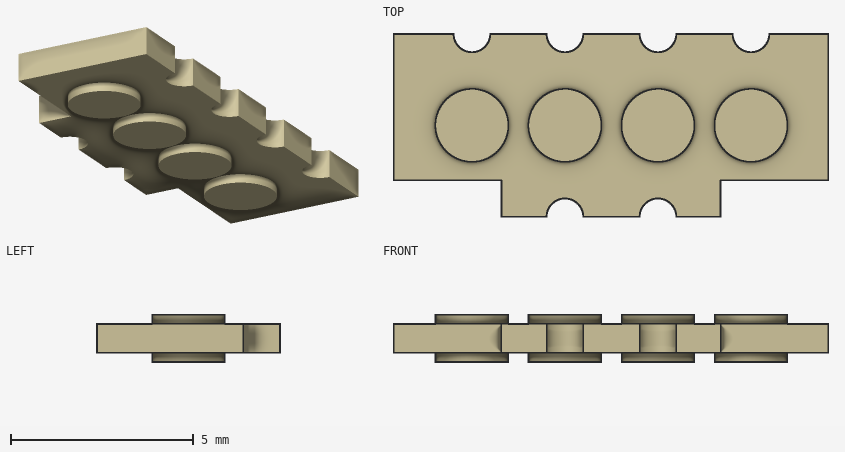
import cadquery as cq

board_length = 11.89
board_width = 5.0
board_thickness = 0.8
tongue_length = 5.99
tongue_depth = 1.0

pad_count = 4
pad_diameter = 2.0
pad_thickness = 0.25
pitch = 2.55
row_center_x = 0.01
pad_center_y = 0.0
notch_radius = 0.5

front_y = -board_width / 2
back_y = board_width / 2
shoulder_y = front_y + tongue_depth
row_x = [row_center_x + (i - (pad_count - 1) / 2) * pitch for i in range(pad_count)]


def box_between(length, y_min, y_max):
    """Block of board thickness, centred in Z, spanning a range in Y."""
    return cq.Workplane("XY").box(length, y_max - y_min, board_thickness).translate(
        (0, (y_min + y_max) / 2, 0)
    )


def make_board():
    """Board with a front tongue and half-round notches in both long edges."""
    main = box_between(board_length, shoulder_y, back_y)
    tongue = box_between(tongue_length, front_y, shoulder_y)
    back_notches = [(x, back_y) for x in row_x]
    front_notches = [(x, front_y) for x in row_x[1:-1]]
    cutters = (
        cq.Workplane("XY", origin=(0, 0, -board_thickness / 2))
        .pushPoints(back_notches + front_notches)
        .circle(notch_radius)
        .extrude(board_thickness)
    )
    return main.union(tongue).cut(cutters)


def make_pad(x, z_bottom):
    """Flat round pad standing on one face of the board."""
    pad = cq.Workplane("XY").circle(pad_diameter / 2).extrude(pad_thickness)
    return pad.translate((x, pad_center_y, z_bottom))


board = make_board()

pads = []
for x in row_x:
    pads.append(make_pad(x, board_thickness / 2).val())
    pads.append(make_pad(x, -board_thickness / 2 - pad_thickness).val())

result = cq.Compound.makeCompound([board.val(), *pads])